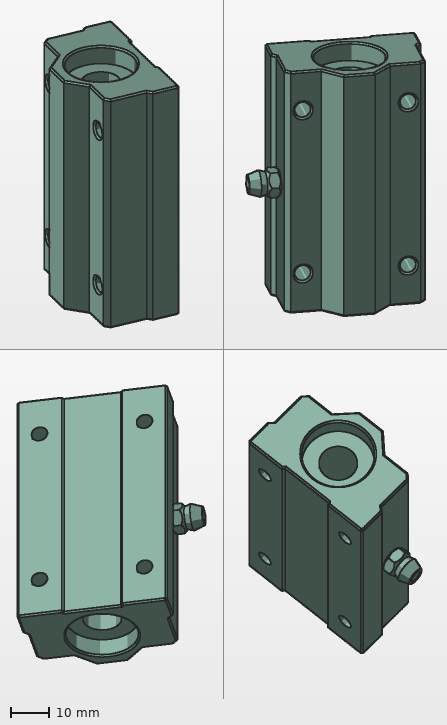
import cadquery as cq
import math

housing_length = 68.0
housing_width = 40.0
housing_depth = 26.0
axis_to_back = housing_depth / 2
side_step = 1.2
wide_side_depth = 7.8
back_corner_chamfer = 0.5
front_corner_chamfer = 1.5
ridge_height = 5.0
ridge_tip_width = 8.3
end_chamfer = 0.5
back_groove_width = 16.05
back_groove_depth = 0.7
back_groove_run = 0.5

bore_diameter = 19.0
bore_chamfer = 0.5

mount_hole_diameter = 4.2
mount_hole_chamfer = 0.55
mount_spacing_x = 28.0
mount_spacing_z = 46.0

bearing_recess = 5.2
bearing_length = housing_length - 2 * bearing_recess
shaft_diameter = 10.0

fitting_length = 8.8
hex_across_flats = 7.0
hex_length = 3.7
hex_base_radius = 3.25
hex_top_radius = 3.05
head_max_radius = 3.55
head_max_height = 5.4
head_tip_radius = 2.5
dome_radius = 1.6
dome_height = 0.5

half_width = housing_width / 2
half_side = half_width - side_step
back_y = axis_to_back
wide_side_y = back_y - wide_side_depth
narrow_side_y = wide_side_y - side_step
ridge_tip_y = back_y - housing_depth
front_y = ridge_tip_y + ridge_height
ridge_tip_x = ridge_tip_width / 2
ridge_base_x = ridge_tip_x + ridge_height
groove_x = back_groove_width / 2


def housing_outline():
    """Right half of the section from ridge to back, followed by its mirror image."""
    right_half = [
        (ridge_tip_x, ridge_tip_y),
        (ridge_base_x, front_y),
        (half_side - front_corner_chamfer, front_y),
        (half_side, front_y + front_corner_chamfer),
        (half_side, narrow_side_y),
        (half_width, wide_side_y),
        (half_width, back_y - back_corner_chamfer),
        (half_width - back_corner_chamfer, back_y),
        (groove_x, back_y),
        (groove_x - back_groove_run, back_y - back_groove_depth),
    ]
    left_half = [(-x, y) for x, y in reversed(right_half)]
    return right_half + left_half


def mount_hole(x, z):
    """Through hole along Y, widened by a chamfer at the front face."""
    hole_radius = mount_hole_diameter / 2
    mouth_radius = hole_radius + mount_hole_chamfer
    profile = [
        (0, front_y),
        (mouth_radius, front_y),
        (hole_radius, front_y + mount_hole_chamfer),
        (hole_radius, back_y),
        (0, back_y),
    ]
    cutter = cq.Workplane("XY").polyline(profile).close().revolve(360, (0, 0, 0), (0, 1, 0))
    return cutter.translate((x, 0, z))


def make_housing():
    """Block with chamfered ends, a bearing bore and four mounting holes."""
    section = cq.Workplane("XY").polyline(housing_outline()).close()
    block = section.extrude(housing_length / 2, both=True)
    block = block.faces("|Z").chamfer(end_chamfer)
    bore = cq.Workplane("XY").circle(bore_diameter / 2).extrude(housing_length / 2, both=True)
    block = block.cut(bore)
    block = block.faces("|Z").edges("%CIRCLE").chamfer(bore_chamfer)
    for x in (-mount_spacing_x / 2, mount_spacing_x / 2):
        for z in (-mount_spacing_z / 2, mount_spacing_z / 2):
            block = block.cut(mount_hole(x, z))
    return block


def make_bearing():
    """Sleeve filling the bore, set back equally from both housing ends."""
    section = cq.Workplane("XY").circle(bore_diameter / 2).circle(shaft_diameter / 2)
    return section.extrude(bearing_length / 2, both=True)


def make_grease_fitting():
    """Hexagon with 45 degree chamfers, carrying a tapered head with a domed tip."""
    corner_radius = hex_across_flats / math.sqrt(3)
    dome_base = fitting_length - dome_height

    hexagon = cq.Workplane("XY").polygon(6, 2 * corner_radius).extrude(hex_length)
    chamfer_limit = [
        (0, 0),
        (hex_base_radius, 0),
        (corner_radius, corner_radius - hex_base_radius),
        (corner_radius, hex_length - (corner_radius - hex_top_radius)),
        (hex_top_radius, hex_length),
        (0, hex_length),
    ]
    chamfer_body = cq.Workplane("XZ").polyline(chamfer_limit).close().revolve(360, (0, 0, 0), (0, 1, 0))
    hexagon = hexagon.intersect(chamfer_body)

    sphere_radius = (dome_radius**2 + dome_height**2) / (2 * dome_height)
    arc_mid_radius = dome_radius / 2
    arc_mid_height = fitting_length - sphere_radius + math.sqrt(sphere_radius**2 - arc_mid_radius**2)
    head = (
        cq.Workplane("XZ")
        .moveTo(0, hex_length)
        .lineTo(hex_top_radius, hex_length)
        .lineTo(head_max_radius, head_max_height)
        .lineTo(head_tip_radius, dome_base)
        .lineTo(dome_radius, dome_base)
        .threePointArc((arc_mid_radius, arc_mid_height), (0, fitting_length))
        .close()
        .revolve(360, (0, 0, 0), (0, 1, 0))
    )

    fitting = hexagon.union(head)
    fitting = fitting.rotate((0, 0, 0), (0, 0, 1), 90).rotate((0, 0, 0), (0, 1, 0), -90)
    return fitting.translate((-half_side, 0, 0))


housing = make_housing()
bearing = make_bearing()
grease_fitting = make_grease_fitting()

result = cq.Compound.makeCompound([housing.val(), bearing.val(), grease_fitting.val()])